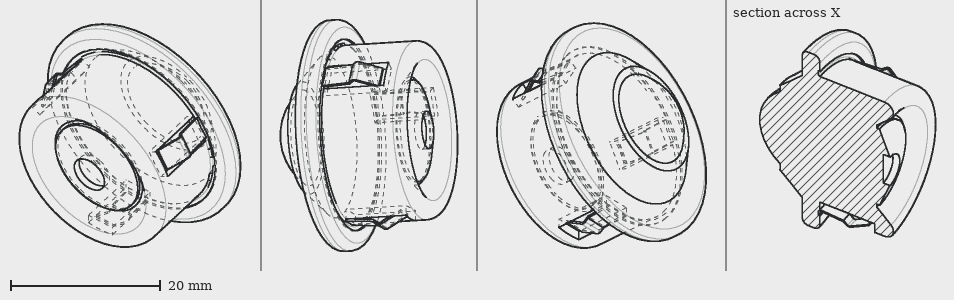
import cadquery as cq
import math

flange_radius = 15.5
flange_thickness = 2.82
flange_fillet = 1.02

shoulder_y = 6.3
collar_base_radius = 10.9
collar_top_radius = 7.53
ball_radius = 8.05
ball_top_y = 9.5
ball_center_y = ball_top_y - ball_radius

body_radius = 12.0
body_end_y = -11.47
rim_radius = 1.5

funnel_floor_radius = 7.25
core_radius = 6.82
core_base_y = -9.27
core_hole_radius = 2.5
core_tip_y = -10.9
core_hole_depth = 1.05

groove_radius = 12.83
groove_depth = 0.28
root_fillet = 0.28

clip_angles = (30, 150, 270)
clip_width = 3.13
clip_thickness = 0.3
clip_bend_inner_radius = 0.3
clip_bend_outer_radius = clip_bend_inner_radius + clip_thickness
clip_root_y = 0.45
clip_outer_face = [(12.0, clip_root_y), (12.3, -3.65), (12.95, -4.43), (11.22, -7.55)]
pocket_width = 3.97
pocket_length = 8.5
pocket_floor_radius = 10.48


def revolve_about_y(profile):
    return profile.close().revolve(360, (0, 0, 0), (0, 1, 0))


def make_flange():
    disc = cq.Workplane("XZ").circle(flange_radius).extrude(-flange_thickness)
    return disc.edges().fillet(flange_fillet)


def make_collar():
    profile = (
        cq.Workplane("XY")
        .lineTo(collar_base_radius, 0)
        .lineTo(collar_base_radius, flange_thickness)
        .lineTo(collar_top_radius, shoulder_y)
        .lineTo(0, shoulder_y)
    )
    return revolve_about_y(profile)


def make_ball():
    return cq.Workplane("XY").sphere(ball_radius).translate((0, ball_center_y, 0))


def make_body():
    """Cup with a rounded rim, a 45 degree funnel and a raised conical core."""
    rim_center_radius = body_radius - rim_radius
    rim_center_y = body_end_y + rim_radius
    diagonal = rim_radius * math.sqrt(0.5)
    funnel_start_radius = rim_center_radius - diagonal
    funnel_start_y = rim_center_y - diagonal
    funnel_floor_y = funnel_start_y + (funnel_start_radius - funnel_floor_radius)
    core_floor_y = core_tip_y + core_hole_depth
    profile = (
        cq.Workplane("XY")
        .moveTo(0, flange_thickness)
        .lineTo(body_radius, flange_thickness)
        .lineTo(body_radius, rim_center_y)
        .threePointArc((rim_center_radius, body_end_y), (funnel_start_radius, funnel_start_y))
        .lineTo(funnel_floor_radius, funnel_floor_y)
        .lineTo(core_radius, funnel_floor_y)
        .lineTo(core_radius, core_base_y)
        .lineTo(core_hole_radius, core_tip_y)
        .lineTo(core_hole_radius, core_floor_y)
        .lineTo(0, core_floor_y)
    )
    return revolve_about_y(profile)


def make_groove():
    """Groove in the rear face of the flange, leaving a concave fillet at the body root."""
    fillet_start_y = groove_depth - root_fillet
    fillet_center_radius = body_radius + root_fillet
    diagonal = root_fillet * math.sqrt(0.5)
    fillet_middle = (fillet_center_radius - diagonal, fillet_start_y + diagonal)
    profile = (
        cq.Workplane("XY")
        .moveTo(body_radius, fillet_start_y)
        .threePointArc(fillet_middle, (fillet_center_radius, groove_depth))
        .lineTo(groove_radius, groove_depth)
        .lineTo(groove_radius, fillet_start_y)
    )
    return revolve_about_y(profile)


def make_root_ring():
    """Ring that gives the groove the material for its root fillet."""
    profile = cq.Workplane("XZ", origin=(0, groove_depth, 0))
    return profile.circle(body_radius + root_fillet).extrude(root_fillet)


def make_pocket(angle):
    radial_depth = flange_radius - pocket_floor_radius
    pocket = cq.Workplane("XY").box(
        radial_depth, pocket_length, pocket_width, centered=(False, False, True)
    )
    pocket = pocket.translate((pocket_floor_radius, -pocket_length, 0))
    return pocket.rotate((0, 0, 0), (0, 1, 0), -angle)


def make_clip(angle):
    """Bent spring strip of constant radial thickness, held in the flange."""
    inner_face = [(radius - clip_thickness, y) for radius, y in reversed(clip_outer_face)]
    strip = cq.Workplane("XY").polyline(clip_outer_face + inner_face).close()
    strip = strip.extrude(clip_width / 2, both=True)
    crest_radius, crest_y = clip_outer_face[2]
    crest_inner_point = (crest_radius - clip_thickness, crest_y, 0)
    strip = strip.edges(cq.NearestToPointSelector((crest_radius, crest_y, 0))).fillet(clip_bend_outer_radius)
    strip = strip.edges(cq.NearestToPointSelector(crest_inner_point)).fillet(clip_bend_inner_radius)
    return strip.rotate((0, 0, 0), (0, 1, 0), -angle)


flange_with_groove = make_flange().union(make_root_ring()).cut(make_groove())
result = make_body().union(flange_with_groove).union(make_collar()).union(make_ball())
for clip_angle in clip_angles:
    result = result.cut(make_pocket(clip_angle)).union(make_clip(clip_angle))